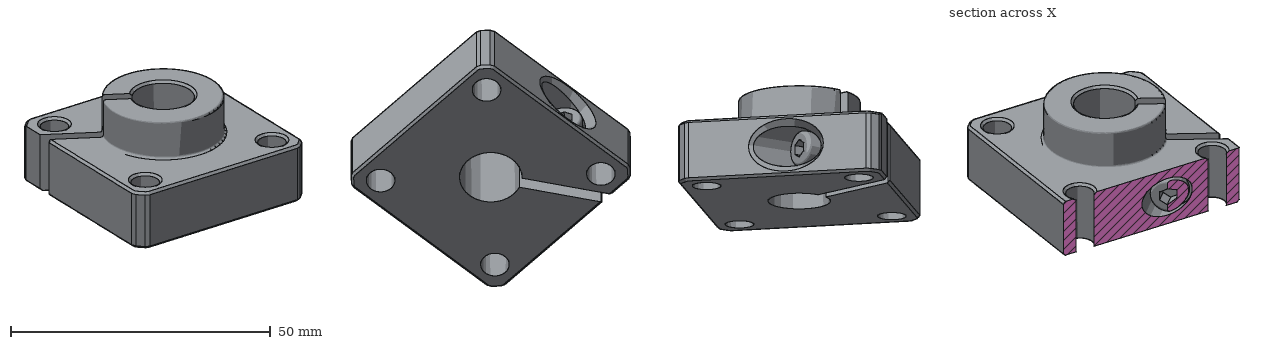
import cadquery as cq
import math

flange_size = 40.0
flange_height = 12.0
corner_cut = 2.0
edge_chamfer = 0.5

boss_diameter = 23.5
total_height = 20.0
boss_fillet = 0.5
bore_diameter = 12.0

mount_hole_diameter = 5.5
mount_hole_spacing = 30.0

slot_width = 2.25
slot_angle = 30.0
slot_tip_chamfer = 0.4

screw_angle = 45.0
screw_entry_y = -0.5
screw_seat_depth = 8.4
counterbore_diameter = 8.0
mouth_setback = 1.2
clearance_diameter = 4.5
thread_core_diameter = 3.24
screw_length = 16.0
head_diameter = 7.0
head_height = 4.0
head_fillet = 0.75
hex_sides = 6
hex_across_flats = 3.0
hex_depth = 3.0

tolerance = 0.001

half_size = flange_size / 2
counterbore_radius = counterbore_diameter / 2
slot_slope = math.tan(math.radians(slot_angle))
slot_exit_x = -half_size * slot_slope
slot_exit_half_width = slot_width / 2 / math.cos(math.radians(slot_angle))
cos_screw = math.cos(math.radians(screw_angle))
sin_screw = math.sin(math.radians(screw_angle))
screw_entry = cq.Vector(-half_size, screw_entry_y, flange_height / 2)
screw_direction = cq.Vector(cos_screw, -sin_screw, 0)
screw_across = cq.Vector(sin_screw, cos_screw, 0)

slot_depth = (half_size + slot_slope * screw_entry_y) / (cos_screw + slot_slope * sin_screw)


def screw_plane(depth):
    """Plane square to the screw axis, the given distance along it from the -X side."""
    return cq.Plane(
        origin=screw_entry + screw_direction * depth,
        xDir=screw_across,
        normal=screw_direction,
    )


def screw_cylinder(diameter, start, end):
    """Cylinder on the screw axis between two depths."""
    return cq.Workplane(screw_plane(start)).circle(diameter / 2).extrude(end - start)


def make_slot():
    """Slab along the slot direction, from the Z axis to beyond the flange."""
    return (
        cq.Workplane("XY")
        .rect(slot_width, 2 * flange_size)
        .extrude(total_height)
        .translate((0, -flange_size, 0))
        .rotate((0, 0, 0), (0, 0, 1), -slot_angle)
    )


def gets_edge_chamfer(edge):
    """True for outline edges, but not for the slot edges or the short top edge beside the slot."""
    middle = edge.Center()
    on_outline = max(abs(middle.x), abs(middle.y)) > half_size - corner_cut
    on_front = middle.y < tolerance - half_size
    upright = abs(edge.tangentAt(0).z) > tolerance
    slot_mouth = on_front and upright and abs(middle.x) < half_size - corner_cut - tolerance
    short_top_edge = on_front and middle.x < slot_exit_x and middle.z > flange_height - tolerance
    return on_outline and not slot_mouth and not short_top_edge


def make_flange():
    """Slotted flange with chamfered edges, except the short top edge left of the slot."""
    flange = cq.Workplane("XY").rect(flange_size, flange_size).extrude(flange_height)
    flange = flange.edges("|Z").chamfer(corner_cut)
    flange = flange.cut(make_slot())
    chamfered_edges = [edge for edge in flange.edges().vals() if gets_edge_chamfer(edge)]
    return flange.newObject(chamfered_edges).chamfer(edge_chamfer)


def chamfer_slot_tip(body):
    """Break the sharp upright edge where the slot leaves the flange."""
    tip = (slot_exit_x + slot_exit_half_width, -half_size, flange_height / 2)
    return body.edges(cq.selectors.NearestToPointSelector(tip)).chamfer(slot_tip_chamfer)


def make_boss():
    """Boss with a rounded top rim and a concave fillet at its foot."""
    radius = boss_diameter / 2
    blend = boss_fillet * math.sqrt(0.5)
    profile = (
        cq.Workplane("XZ")
        .lineTo(radius + boss_fillet, 0)
        .lineTo(radius + boss_fillet, flange_height)
        .threePointArc(
            (radius + boss_fillet - blend, flange_height + boss_fillet - blend),
            (radius, flange_height + boss_fillet),
        )
        .lineTo(radius, total_height - boss_fillet)
        .threePointArc(
            (radius - boss_fillet + blend, total_height - boss_fillet + blend),
            (radius - boss_fillet, total_height),
        )
        .lineTo(0, total_height)
        .close()
    )
    return profile.revolve(360, (0, 0, 0), (0, 1, 0))


def make_hole(diameter, top):
    """Cutter for an upright through hole with a chamfered top rim."""
    radius = diameter / 2
    profile = (
        cq.Workplane("XZ")
        .lineTo(radius, 0)
        .lineTo(radius, top - edge_chamfer)
        .lineTo(radius + edge_chamfer, top)
        .lineTo(0, top)
        .close()
    )
    return profile.revolve(360, (0, 0, 0), (0, 1, 0))


def make_mouth():
    """Chamfered mouth of the slanted counterbore.

    A ball of radius mouth_setback, rolled round the mouth edge inside the metal, touches
    the -X side and the counterbore wall along two ellipses; the chamfer is ruled between them.
    """
    ball_path_radius = counterbore_radius + mouth_setback
    ball_shift = mouth_setback * sin_screw / cos_screw
    ball_path_centre = screw_entry + cq.Vector(mouth_setback, -ball_shift, 0)
    face_centre = ball_path_centre - cq.Vector(mouth_setback, 0, 0)

    outer = cq.Wire.makeEllipse(
        ball_path_radius / cos_screw,
        ball_path_radius,
        face_centre,
        cq.Vector(1, 0, 0),
        cq.Vector(0, 1, 0),
    )
    axial_rise = ball_path_radius * sin_screw / cos_screw
    inner_major = screw_across * counterbore_radius - screw_direction * axial_rise
    inner = cq.Wire.makeEllipse(
        inner_major.Length,
        counterbore_radius,
        ball_path_centre,
        inner_major.cross(cq.Vector(0, 0, 1)),
        inner_major,
    )
    return cq.Workplane(cq.Solid.makeLoft([outer, inner], True))


def make_screw_cutter():
    """Counterbore, clearance hole up to the slot and blind thread hole beyond it."""
    outside = -counterbore_diameter
    counterbore = screw_cylinder(counterbore_diameter, outside, screw_seat_depth)
    clearance = screw_cylinder(clearance_diameter, screw_seat_depth, slot_depth)
    thread = screw_cylinder(thread_core_diameter, slot_depth, screw_seat_depth + screw_length)
    return counterbore.union(make_mouth()).union(clearance).union(thread)


def make_screw_head():
    """Rounded socket head resting on the counterbore floor."""
    top = screw_seat_depth - head_height
    head = screw_cylinder(head_diameter, top, screw_seat_depth)
    head = head.faces(cq.selectors.NearestToPointSelector(screw_plane(top).origin.toTuple()))
    head = head.edges().fillet(head_fillet)
    hex_across_corners = hex_across_flats / math.cos(math.pi / hex_sides)
    socket = (
        cq.Workplane(screw_plane(top))
        .transformed(rotate=(0, 0, 90))
        .polygon(hex_sides, hex_across_corners)
        .extrude(hex_depth)
    )
    return head.cut(socket)


result = chamfer_slot_tip(make_flange())
result = result.union(make_boss())
result = result.cut(make_hole(bore_diameter, total_height)).cut(make_slot())
for centre in cq.Workplane("XY").rect(mount_hole_spacing, mount_hole_spacing).vertices().vals():
    result = result.cut(make_hole(mount_hole_diameter, flange_height).translate(centre.Center()))
result = result.cut(make_screw_cutter())
result = result.union(make_screw_head())